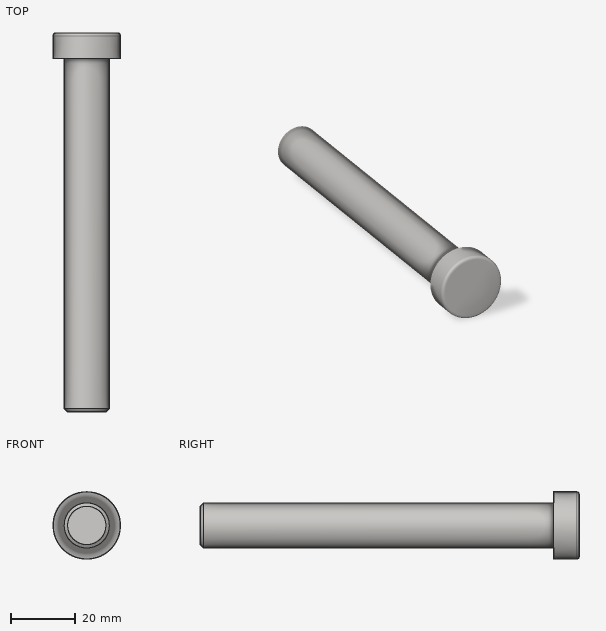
import cadquery as cq

total_length = 118.0
head_diameter = 21.0
head_thickness = 8.0
shank_diameter = 14.0
head_rounding = 1.0
tip_chamfer = 1.1

shank_length = total_length - head_thickness


def cylinder_along_y(diameter, length, start_y):
    """Solid cylinder on the Y axis, running from start_y towards +Y."""
    direction = cq.Vector(0, 1, 0)
    start = cq.Vector(0, start_y, 0)
    return cq.Workplane(cq.Solid.makeCylinder(diameter / 2, length, start, direction))


shank = cylinder_along_y(shank_diameter, shank_length, 0)
shank = shank.faces("<Y").chamfer(tip_chamfer)

head = cylinder_along_y(head_diameter, head_thickness, shank_length)
head = head.faces(">Y").fillet(head_rounding)

result = shank.union(head)